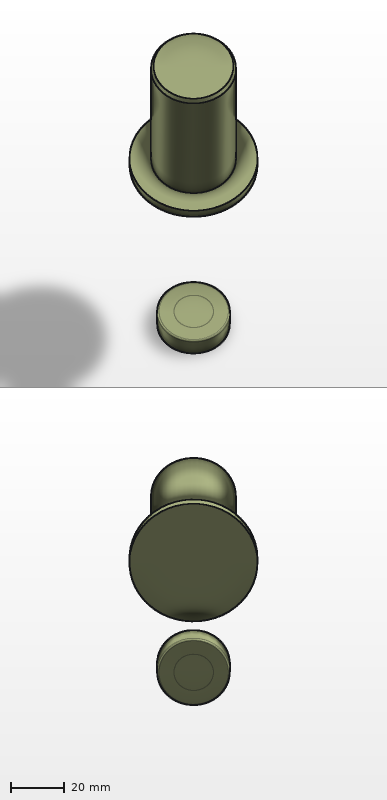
import cadquery as cq

total_height = 168.0

head_diameter = 48.0
head_thickness = 4.0
pin_diameter = 32.0
pin_length = 64.0
pin_chamfer_height = 1.7
pin_chamfer_width = 1.0

button_diameter = 27.7
button_height = 8.7
barrel_bulge = 0.25
button_edge_round = 0.7
centre_flat_diameter = 14.8
dish_depth = 0.08


def make_pin():
    """Round pin with a flat head at its lower end and a steep chamfer on top."""
    head_bottom = total_height - pin_length
    head_top = head_bottom + head_thickness
    head_radius = head_diameter / 2
    pin_radius = pin_diameter / 2
    return (
        cq.Workplane("XZ")
        .moveTo(0, head_bottom)
        .lineTo(head_radius, head_bottom)
        .lineTo(head_radius, head_top)
        .lineTo(pin_radius, head_top)
        .lineTo(pin_radius, total_height - pin_chamfer_height)
        .lineTo(pin_radius - pin_chamfer_width, total_height)
        .lineTo(0, total_height)
        .close()
        .revolve(360, (0, 0), (0, 1))
    )


def make_button():
    """Short disc with a barrel side, rounded rims and end faces dished slightly to a flat centre."""
    middle_radius = button_diameter / 2
    rim_radius = middle_radius - barrel_bulge
    flat_radius = centre_flat_diameter / 2
    button = (
        cq.Workplane("XZ")
        .moveTo(0, dish_depth)
        .lineTo(flat_radius, dish_depth)
        .lineTo(rim_radius, 0)
        .threePointArc((middle_radius, button_height / 2), (rim_radius, button_height))
        .lineTo(flat_radius, button_height - dish_depth)
        .lineTo(0, button_height - dish_depth)
        .close()
        .revolve(360, (0, 0), (0, 1))
    )
    rims = button.edges(cq.selectors.RadiusNthSelector(1))
    return rims.fillet(button_edge_round)


pin = make_pin()
button = make_button()

result = cq.Compound.makeCompound([pin.val(), button.val()])